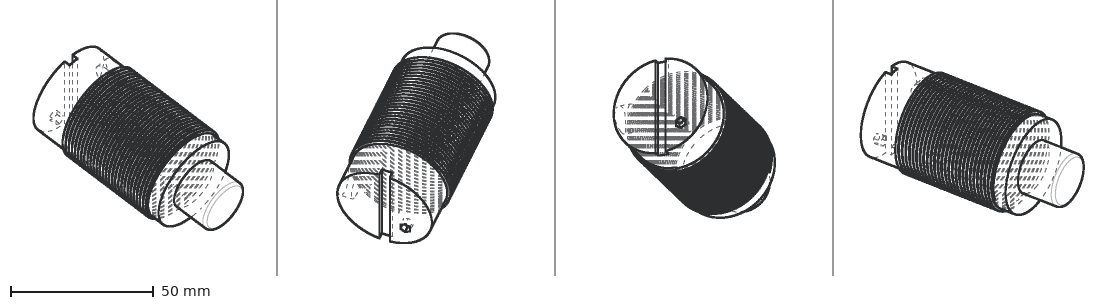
import cadquery as cq
import math

total_length = 75.7
body_length = 60.7

body_diameter = 35.7
thread_diameter = 37.8
pin_diameter = 20.0
pin_edge_radius = 1.05

thread_start = 14.0
thread_end = 55.65
thread_turns = 27.8
thread_pitch = (thread_end - thread_start) / thread_turns
thread_base_width = 1.1
thread_embed = 0.15

slot_width = 3.9
slot_depth = 2.4

screw_y = -7.7
screw_z = -7.7
socket_across_flats = 3.55
socket_depth = 3.0

side_hole_diameter = 10.0
side_hole_x = 6.0
side_hole_depth = 5.0

body_radius = body_diameter / 2
thread_height = thread_diameter / 2 - body_radius


def make_body():
    """Plain cylinder with a round-edged pin on its +X end."""
    body = cq.Workplane("YZ").circle(body_radius).extrude(body_length)
    pin = (
        cq.Workplane("YZ", origin=(body_length, 0, 0))
        .circle(pin_diameter / 2)
        .extrude(total_length - body_length)
        .faces(">X")
        .edges()
        .fillet(pin_edge_radius)
    )
    return body.union(pin)


def make_thread():
    """Helical ridge that starts at the bottom and is trimmed square at both ends."""
    ridge_root = body_radius - thread_embed
    root_half_width = thread_base_width / 2 * (1 + thread_embed / thread_height)
    helix = cq.Wire.makeHelix(thread_pitch, thread_end - thread_start, ridge_root)
    ridge = (
        cq.Workplane("XZ")
        .moveTo(ridge_root, -root_half_width)
        .lineTo(thread_diameter / 2, 0)
        .lineTo(ridge_root, root_half_width)
        .close()
        .sweep(cq.Workplane(helix), isFrenet=True)
    )
    ridge = ridge.rotate((0, 0, 0), (0, 1, 0), 90).translate((thread_start, 0, 0))
    threaded_length = (
        cq.Workplane("YZ", origin=(thread_start, 0, 0))
        .circle(thread_diameter)
        .extrude(thread_end - thread_start)
    )
    return ridge.intersect(threaded_length)


def make_slot():
    return cq.Workplane("XY").box(2 * slot_depth, slot_width, body_diameter)


def make_hex_socket():
    """Hexagon with two corners pointing along Z."""
    across_corners = socket_across_flats / math.cos(math.pi / 6)
    return (
        cq.Workplane("YZ")
        .polygon(6, across_corners)
        .extrude(socket_depth)
        .rotate((0, 0, 0), (1, 0, 0), 90)
        .translate((0, screw_y, screw_z))
    )


def make_side_hole():
    return (
        cq.Workplane("XZ", origin=(side_hole_x, body_radius, 0))
        .circle(side_hole_diameter / 2)
        .extrude(side_hole_depth)
    )


result = (
    make_body()
    .cut(make_slot())
    .cut(make_hex_socket())
    .cut(make_side_hole())
    .union(make_thread())
)